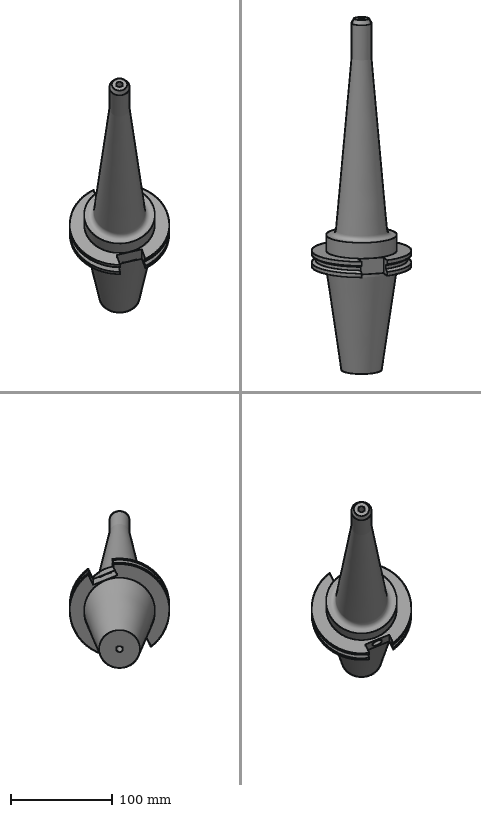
import math

import cadquery as cq

gauge_diameter = 69.85
taper_length = 101.6
taper_ratio = 7 / 24
gauge_length = 254.0
total_length = taper_length + gauge_length
shank_end_diameter = gauge_diameter - taper_ratio * taper_length

flange_diameter = 98.425
flange_offset = 3.175
flange_thickness = 15.875
flange_bottom = taper_length + flange_offset
flange_top = flange_bottom + flange_thickness
groove_middle = flange_bottom + flange_thickness / 2
groove_depth = 3.8
groove_floor_width = 3.5
groove_side_angle = 30.0
groove_mouth_width = groove_floor_width + 2 * groove_depth * math.tan(math.radians(groove_side_angle))

boss_diameter = gauge_diameter
boss_height_above_gauge = 35.0
boss_top = taper_length + boss_height_above_gauge

neck_base_diameter = 51.6
neck_fillet_radius = 5.0
nose_diameter = 20.0
nose_length = 40.0
nose_bottom = total_length - nose_length
nose_chamfer_width = 2.5
nose_chamfer_height = 4.5

bore_diameter = 6.35

slot_width = 25.9
left_slot_floor = 37.7
right_slot_floor = 35.3

slot_hole_diameter = 10.0
slot_hole_depth = 5.0


def make_body():
    """Revolve the whole outer profile, starting on the axis at the shank end, around Z."""
    flange_radius = flange_diameter / 2
    groove_radius = flange_radius - groove_depth
    nose_radius = nose_diameter / 2
    return (
        cq.Workplane("XZ")
        .lineTo(shank_end_diameter / 2, 0)
        .lineTo(gauge_diameter / 2, taper_length)
        .lineTo(gauge_diameter / 2, flange_bottom)
        .lineTo(flange_radius, flange_bottom)
        .lineTo(flange_radius, groove_middle - groove_mouth_width / 2)
        .lineTo(groove_radius, groove_middle - groove_floor_width / 2)
        .lineTo(groove_radius, groove_middle + groove_floor_width / 2)
        .lineTo(flange_radius, groove_middle + groove_mouth_width / 2)
        .lineTo(flange_radius, flange_top)
        .lineTo(boss_diameter / 2, flange_top)
        .lineTo(boss_diameter / 2, boss_top)
        .lineTo(neck_base_diameter / 2, boss_top)
        .lineTo(nose_radius, nose_bottom)
        .lineTo(nose_radius, total_length - nose_chamfer_height)
        .lineTo(nose_radius - nose_chamfer_width, total_length)
        .lineTo(0, total_length)
        .close()
        .revolve(360, (0, 0, 0), (0, 1, 0))
    )


def fillet_neck_base(body):
    """Round the inner corner where the neck meets the top of the boss."""
    boss_rim_point = (0, boss_diameter / 2, boss_top)
    boss_top_face = body.faces("+Z").faces(cq.selectors.NearestToPointSelector(boss_rim_point))
    return boss_top_face.edges(cq.selectors.RadiusNthSelector(0)).fillet(neck_fillet_radius)


def make_drive_slot(side, floor_distance):
    """Cutter for a slot through the flange; side is -1 for -X, +1 for +X."""
    slot_length = flange_diameter / 2
    slot_middle = floor_distance + slot_length / 2
    return (
        cq.Workplane("XY", origin=(side * slot_middle, 0, flange_bottom))
        .rect(slot_length, slot_width)
        .extrude(flange_thickness)
    )


def make_slot_hole():
    """Cutter for the radial hole in the left slot floor."""
    return (
        cq.Workplane("YZ", origin=(-left_slot_floor, 0, groove_middle))
        .circle(slot_hole_diameter / 2)
        .extrude(slot_hole_depth)
    )


def make_bore():
    """Cutter for the axial bore along the full length."""
    return cq.Workplane("XY").circle(bore_diameter / 2).extrude(total_length)


result = (
    fillet_neck_base(make_body())
    .cut(make_drive_slot(-1, left_slot_floor))
    .cut(make_drive_slot(1, right_slot_floor))
    .cut(make_slot_hole())
    .cut(make_bore())
)